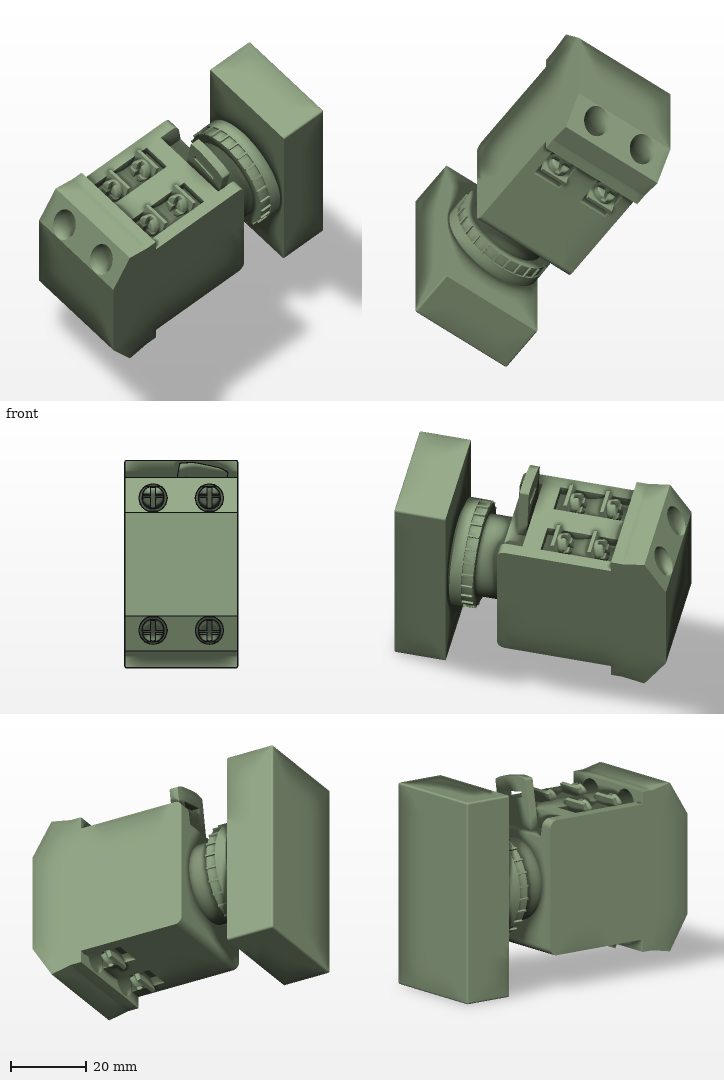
import cadquery as cq
import math


WIDTH = 30.0
HALF_WIDTH = WIDTH / 2
LENGTH = 74.0

BEZEL_HEIGHT = 55.0
BEZEL_DEPTH = 14.0
BEZEL_EDGE = 0.5
BEZEL_BACK = LENGTH - BEZEL_DEPTH

SPACER_RADIUS = 12.05
RING_RADIUS = 14.5
NECK_RADIUS = 11.1
RING_END = 59.1
RING_START = 52.9
KNURL_LENGTH = 3.0
RIB_COUNT = 25
RIB_WIDTH = 0.5
RIB_HEIGHT = 0.6

BODY_END = 45.95
BODY_HALF_HEIGHT = 18.4
BODY_FILLET = 2.0
BLOCK_END = 14.95
BLOCK_HALF_HEIGHT = 21.8
FLARE_START = 11.8
FLARE_END = 5.85
FLARE_HALF_HEIGHT = 23.0
NOSE_HALF_HEIGHT = 13.8

RECESS_FRONT = 39.8
RECESS_FLOOR = 13.2
RECESS_TOP_HALF_WIDTH = 11.6
RECESS_OVERCUT = 0.75
RECESS_FLOOR_HALF_WIDTH = 10.6
TAB_FRONT = 40.7
TAB_THICKNESS = 2.5
TAB_TILT = 10.0
TAB_LEFT_FOOT_X = -2.9
TAB_RIGHT_FOOT_X = 10.35
TAB_LEFT_SHOULDER = (-0.45, 26.4)
TAB_FLAT_LEFT = (4.7, 26.7)
TAB_FLAT_RIGHT = (7.7, 26.1)
TAB_RIGHT_SHOULDER = (12.35, 24.0)
TAB_LEFT_CURVE = [(0.15, 26.8), (2.45, 26.9)]
TAB_RIGHT_CURVE = [(11.8, 24.8)]
TAB_RISE = (0.2, 1)
TAB_TOP_FALL = (1, -0.2)
TAB_SIDE_FALL = (-0.2, -1)
TAB_SLOT_LENGTH = 7.8
TAB_SLOT_HEIGHT = 1.8
TAB_SLOT_CENTER = (4.9, 21.5)

TERMINAL_OFFSET = 7.5
POCKET_OFFSET = 7.55
TERMINAL_PITCH = 10.0
POCKET_WIDTH = 8.15
POCKET_END = 34.9
POCKET_FLOOR = 15.75
TERMINAL_TILT = 20.0
PLATE_WIDTH = 7.8
PLATE_THICKNESS = 1.0
PLATE_HALF_HEIGHT = 3.5
HEAD_RADIUS = 2.9
HEAD_LENGTH = 2.4
HEAD_EDGE = 0.6
DRIVE_SLOT_WIDTH = 1.3
CROSS_SLOT_WIDTH = 1.0
DRIVE_SLOT_DEPTH = 1.5
HEAD_TIP = (17.9, 18.1)
RAMP_END = 26.65
ACCESS_RADIUS = 3.7
ACCESS_HEIGHT = 17.55

TILT = math.radians(TERMINAL_TILT)
FRONT_SEAT_Y = HEAD_TIP[0] + HEAD_LENGTH * math.cos(TILT)
SEAT_Z = HEAD_TIP[1] - HEAD_LENGTH * math.sin(TILT)
RAMP_FOOT_Y = (
    FRONT_SEAT_Y + PLATE_THICKNESS / math.cos(TILT) - (SEAT_Z - POCKET_FLOOR) * math.tan(TILT)
)


def box(x_range, y_range, z_range):
    """Axis-aligned box between the given limits."""
    return (
        cq.Workplane("XY")
        .box(x_range[1] - x_range[0], y_range[1] - y_range[0], z_range[1] - z_range[0], centered=False)
        .translate((x_range[0], y_range[0], z_range[0]))
    )


def disc(radius, start, end):
    """Cylinder about the Y axis from start to end."""
    return cq.Workplane("XZ", origin=(0, start, 0)).circle(radius).extrude(start - end)


def across_width(points, half_width, center_x=0):
    """Closed (y, z) outline extruded symmetrically along X."""
    return (
        cq.Workplane("YZ", origin=(center_x, 0, 0)).polyline(points).close().extrude(half_width, both=True)
    )


def make_bezel():
    half = BEZEL_HEIGHT / 2
    block = box((-HALF_WIDTH, HALF_WIDTH), (BEZEL_BACK, LENGTH), (-half, half))
    return block.edges("|Y or >Y").fillet(BEZEL_EDGE)


def make_ring():
    """Plain band followed by a knurled band of narrow ribs flush with it."""
    knurl_end = RING_START + KNURL_LENGTH
    core_radius = RING_RADIUS - RIB_HEIGHT
    rib = box((-RING_RADIUS, -NECK_RADIUS), (RING_START, knurl_end), (-RIB_WIDTH / 2, RIB_WIDTH / 2))
    rib = rib.intersect(disc(RING_RADIUS, RING_START, knurl_end))
    pitch = 360 / RIB_COUNT
    ring = disc(RING_RADIUS, knurl_end, RING_END).union(disc(core_radius, RING_START, knurl_end))
    for index in range(RIB_COUNT):
        ring = ring.union(rib.rotate((0, 0, 0), (0, 1, 0), (index + 0.5) * pitch))
    return ring


def make_neck():
    spacer = disc(SPACER_RADIUS, RING_END, BEZEL_BACK)
    neck = disc(NECK_RADIUS, BODY_END, RING_END)
    return neck.union(make_ring()).union(spacer)


def make_body():
    body = box(
        (-HALF_WIDTH, HALF_WIDTH), (BLOCK_END, BODY_END), (-BODY_HALF_HEIGHT, BODY_HALF_HEIGHT)
    )
    body = body.edges("|X and >Y").fillet(BODY_FILLET)
    upper = [
        (BLOCK_END, BLOCK_HALF_HEIGHT),
        (FLARE_START, BLOCK_HALF_HEIGHT),
        (FLARE_END, FLARE_HALF_HEIGHT),
        (0, NOSE_HALF_HEIGHT),
    ]
    lower = [(y, -z) for y, z in reversed(upper)]
    return body.union(across_width(upper + lower, HALF_WIDTH))


def make_recess():
    """Recess with sloping sides, open towards the neck and the top."""
    slope = (RECESS_TOP_HALF_WIDTH - RECESS_FLOOR_HALF_WIDTH) / (BODY_HALF_HEIGHT - RECESS_FLOOR)
    rim = BODY_HALF_HEIGHT + RECESS_OVERCUT
    rim_half_width = RECESS_TOP_HALF_WIDTH + RECESS_OVERCUT * slope
    outline = [
        (-RECESS_FLOOR_HALF_WIDTH, RECESS_FLOOR),
        (RECESS_FLOOR_HALF_WIDTH, RECESS_FLOOR),
        (rim_half_width, rim),
        (-rim_half_width, rim),
    ]
    return (
        cq.Workplane("XZ", origin=(0, RECESS_FRONT, 0))
        .polyline(outline)
        .close()
        .extrude(RECESS_FRONT - BODY_END)
    )


def make_tab():
    """Leaning latch tab standing on the recess floor, with a slot through it."""
    tab = (
        cq.Workplane("XZ", origin=(0, TAB_FRONT, 0))
        .moveTo(TAB_LEFT_FOOT_X, RECESS_FLOOR)
        .lineTo(*TAB_LEFT_SHOULDER)
        .spline(
            TAB_LEFT_CURVE + [TAB_FLAT_LEFT], tangents=[TAB_RISE, TAB_TOP_FALL], includeCurrent=True
        )
        .lineTo(*TAB_FLAT_RIGHT)
        .spline(
            TAB_RIGHT_CURVE + [TAB_RIGHT_SHOULDER],
            tangents=[TAB_TOP_FALL, TAB_SIDE_FALL],
            includeCurrent=True,
        )
        .lineTo(TAB_RIGHT_FOOT_X, RECESS_FLOOR)
        .close()
        .extrude(-TAB_THICKNESS)
    )
    slot = (
        cq.Workplane("XZ", origin=(TAB_SLOT_CENTER[0], TAB_FRONT, TAB_SLOT_CENTER[1]))
        .transformed(rotate=(0, 0, -TAB_TILT))
        .rect(TAB_SLOT_LENGTH, TAB_SLOT_HEIGHT)
        .extrude(-TAB_THICKNESS)
    )
    return tab.cut(slot)


def make_terminal(center_x, seat_y):
    """Clamping plate and cross-slotted screw head, leaning up towards the front."""
    plate = box(
        (-PLATE_WIDTH / 2, PLATE_WIDTH / 2),
        (0, PLATE_THICKNESS),
        (-PLATE_HALF_HEIGHT, PLATE_HALF_HEIGHT),
    )
    head = disc(HEAD_RADIUS, -HEAD_LENGTH, 0).faces("<Y").edges().fillet(HEAD_EDGE)
    slot_depth_range = (-HEAD_LENGTH, DRIVE_SLOT_DEPTH - HEAD_LENGTH)
    full = (-HEAD_RADIUS, HEAD_RADIUS)
    head = head.cut(box((-DRIVE_SLOT_WIDTH / 2, DRIVE_SLOT_WIDTH / 2), slot_depth_range, full))
    head = head.cut(box(full, slot_depth_range, (-CROSS_SLOT_WIDTH / 2, CROSS_SLOT_WIDTH / 2)))
    terminal = plate.union(head).rotate((0, 0, 0), (1, 0, 0), -TERMINAL_TILT)
    return terminal.translate((center_x, seat_y, SEAT_Z))


def make_pocket(side, pocket_end):
    inner = POCKET_OFFSET - POCKET_WIDTH / 2
    pocket = box(
        (inner, inner + POCKET_WIDTH), (BLOCK_END, pocket_end), (POCKET_FLOOR, BODY_HALF_HEIGHT)
    )
    return pocket if side > 0 else pocket.mirror("YZ")


def make_ramp(side):
    """Wedge supporting the back of the front plate, square to the plate."""
    run = (RAMP_END - RAMP_FOOT_Y) * math.cos(TILT)
    outline = [
        (RAMP_FOOT_Y, POCKET_FLOOR),
        (RAMP_END, POCKET_FLOOR),
        (RAMP_END - run * math.cos(TILT), POCKET_FLOOR + run * math.sin(TILT)),
    ]
    return across_width(outline, POCKET_WIDTH / 2, side * POCKET_OFFSET)


def make_access_hole(center_x):
    hole = disc(ACCESS_RADIUS, 0, RAMP_FOOT_Y)
    return hole.translate((center_x, 0, ACCESS_HEIGHT))


def flip(shape):
    """Mirror a shape from the top to the underside."""
    return shape.mirror("XY")


body = make_body().cut(make_recess())
for side in (-1, 1):
    center_x = side * TERMINAL_OFFSET
    access = make_access_hole(center_x)
    front_terminal = make_terminal(center_x, FRONT_SEAT_Y)
    rear_terminal = make_terminal(center_x, FRONT_SEAT_Y + TERMINAL_PITCH)

    body = body.cut(make_pocket(side, POCKET_END)).cut(access)
    body = body.union(make_ramp(side)).union(front_terminal).union(rear_terminal)

    body = body.cut(flip(make_pocket(side, POCKET_END - TERMINAL_PITCH))).cut(flip(access))
    body = body.union(flip(front_terminal))

result = make_bezel().union(make_neck()).union(body).union(make_tab())